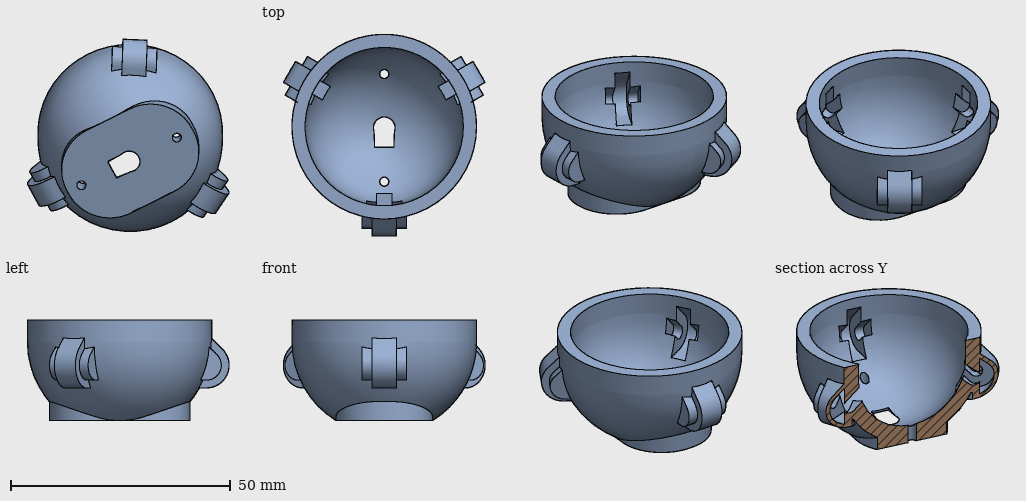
import cadquery as cq
import math

overall_length = 45.9
outer_radius = 42.0 / 2
inner_radius = 36.0 / 2
collar_height = 5.0
overall_height = 22.9
base_level = collar_height - overall_height

foot_width = 22.0
foot_length = 32.0
foot_corner_radius = 10.5

opening_center_y = -0.28
screw_diameter = 2.0
screw_spacing = 24.45
slot_head_radius = 2.45
slot_start_width = 4.6
slot_end_width = 4.3
slot_end_y = -4.65

housing_angles = (-90, 30, 150)
housing_reach = overall_length - outer_radius
roller_housing_radius = 5.2
roller_housing_width = 5.5
axle_housing_radius = 3.4
axle_housing_width = 10.15
roller_pocket_radius = 4.2
roller_pocket_width = 3.55
axle_pocket_radius = 1.5
axle_pocket_width = 8.05
roller_axis_reach = housing_reach - roller_housing_radius
roller_axis_level = -5.32

housing_start = 17.45
roller_pocket_start = inner_radius / 2
axle_pocket_run = 5.5


def bowl_form(radius):
    """Ball of the given radius cut off at the base level, its upper half replaced by a collar."""
    collar = cq.Workplane("XY").circle(radius).extrude(collar_height)
    lower_half = (
        cq.Workplane("XY").workplane(offset=base_level)
        .circle(radius).extrude(-base_level)
        .intersect(cq.Workplane("XY").sphere(radius))
    )
    return lower_half.union(collar)


def roller_form(radius, width, start):
    """Block rounded about the roller axis, pointing to +X, with a level floor and a 45 degree roof.

    `start` is where its flat inner wall stands, measured from the bowl's axis.
    """
    diagonal = radius * math.sqrt(0.5)
    roof_low_end = (roller_axis_reach + diagonal, roller_axis_level + diagonal)
    roof_high_end = (start, roof_low_end[1] + roof_low_end[0] - start)
    round_middle = (
        roller_axis_reach + radius * math.cos(math.pi / 8),
        roller_axis_level - radius * math.sin(math.pi / 8),
    )
    round_end = (roller_axis_reach, roller_axis_level - radius)
    return (
        cq.Workplane("XZ").moveTo(*roof_high_end)
        .lineTo(*roof_low_end)
        .threePointArc(round_middle, round_end)
        .lineTo(start, round_end[1])
        .close().extrude(width / 2, both=True)
    )


def axle_pocket():
    """Round-ended slot from the axle into the bowl's cavity, rising inwards at 45 degrees."""
    diagonal = axle_pocket_radius * math.sqrt(0.5)
    return (
        cq.Workplane("XZ").center(roller_axis_reach, roller_axis_level)
        .moveTo(diagonal, diagonal)
        .threePointArc((diagonal, -diagonal), (-diagonal, -diagonal))
        .line(-axle_pocket_run, axle_pocket_run)
        .line(2 * diagonal, 2 * diagonal)
        .close().extrude(axle_pocket_width / 2, both=True)
    )


def at_housing(form, angle):
    return form.rotate((0, 0, 0), (0, 0, 1), angle)


def screw_holes():
    ends = [(0, opening_center_y + side * screw_spacing / 2) for side in (-1, 1)]
    return (
        cq.Workplane("XY").workplane(offset=base_level)
        .pushPoints(ends).circle(screw_diameter / 2).extrude(-base_level)
    )


def floor_slot():
    half_start = slot_start_width / 2
    half_end = slot_end_width / 2
    start_y = opening_center_y - math.sqrt(slot_head_radius**2 - half_start**2)
    return (
        cq.Workplane("XY").workplane(offset=base_level)
        .moveTo(half_start, start_y)
        .threePointArc((0, opening_center_y + slot_head_radius), (-half_start, start_y))
        .lineTo(-half_end, slot_end_y)
        .lineTo(half_end, slot_end_y)
        .close().extrude(-base_level)
    )


foot = (
    cq.Workplane("XY").workplane(offset=base_level)
    .rect(foot_width, foot_length).extrude(-base_level)
    .edges("|Z").fillet(foot_corner_radius)
)

body = bowl_form(outer_radius).union(foot)
roller_housing = roller_form(roller_housing_radius, roller_housing_width, housing_start)
axle_housing = roller_form(axle_housing_radius, axle_housing_width, housing_start)
for angle in housing_angles:
    body = body.union(at_housing(roller_housing, angle)).union(at_housing(axle_housing, angle))

body = body.cut(bowl_form(inner_radius))
roller_pocket = roller_form(roller_pocket_radius, roller_pocket_width, roller_pocket_start)
axle_slot = axle_pocket()
for angle in housing_angles:
    body = body.cut(at_housing(roller_pocket, angle)).cut(at_housing(axle_slot, angle))

result = body.cut(screw_holes()).cut(floor_slot())